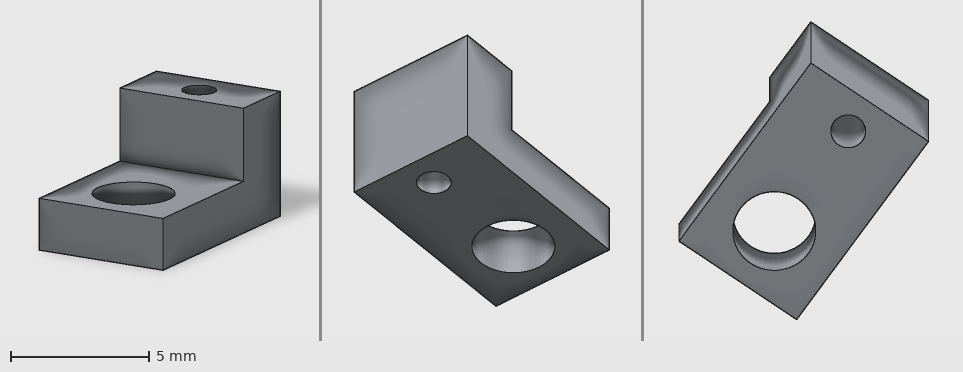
import cadquery as cq

width = 5.2
length = 8.3
height = 4.7

base_thickness = 1.95
block_depth = 2.6

large_hole_diameter = 3.0
large_hole_from_front = 2.3
small_hole_diameter = 1.25
small_hole_from_back = 1.35


def box_from_front(depth, tall, front_y):
    """Full-width box standing on Z = 0 with its front face at front_y."""
    return (
        cq.Workplane("XY")
        .box(width, depth, tall, centered=(True, False, False))
        .translate((0, front_y, 0))
    )


def vertical_hole(diameter, y):
    """Cylinder that cuts through the full height of the part."""
    return cq.Workplane("XY").center(0, y).circle(diameter / 2).extrude(height)


base = box_from_front(length, base_thickness, 0)
raised_block = box_from_front(block_depth, height, length - block_depth)

result = (
    base.union(raised_block)
    .cut(vertical_hole(large_hole_diameter, large_hole_from_front))
    .cut(vertical_hole(small_hole_diameter, length - small_hole_from_back))
)